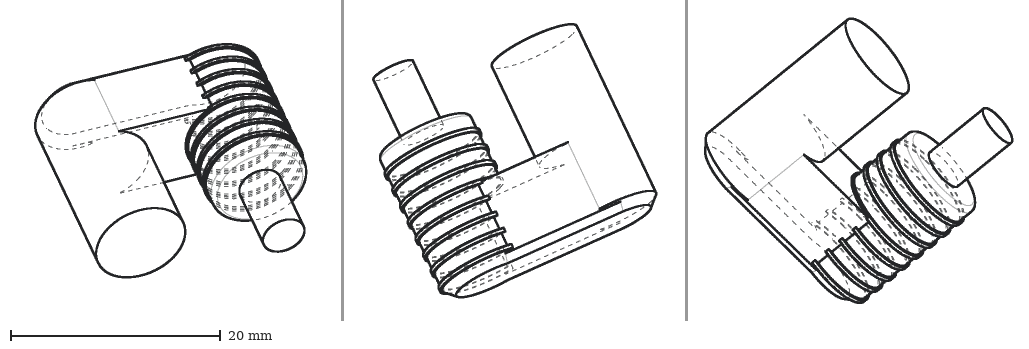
import cadquery as cq

overall_length = 22.5
overall_width = 22.7
end_chamfer = 1.0

plain_diameter = 9.0
plain_length = 19.0

ribbed_diameter = 9.6
ribbed_length = 15.53
ribbed_end_fillet = 0.5
cable_diameter = 4.2

rib_diameter = 10.0
rib_width = 0.4
rib_pitch = 1.75
rib_count = 8

web_length = 8.2
web_height = 8.5
web_chamfer = 0.8

plain_axis_y = (plain_diameter - overall_width) / 2
ribbed_axis_y = (overall_width - rib_diameter) / 2
axis_spacing = ribbed_axis_y - plain_axis_y


def rod(axis_y, diameter, start_x, end_x):
    """Cylinder parallel to X between two X positions."""
    plane = cq.Workplane("YZ", origin=(start_x, axis_y, 0))
    return plane.circle(diameter / 2).extrude(end_x - start_x)


def barrel(axis_y, diameter, length):
    """Barrel starting at X = 0 with a chamfered front edge."""
    return rod(axis_y, diameter, 0, length).faces("<X").chamfer(end_chamfer)


def web():
    """Flat block reaching from one barrel axis to the other."""
    block = cq.Workplane("XY").box(web_length, axis_spacing, web_height, centered=(False, False, True))
    return block.translate((0, plain_axis_y, 0))


def web_chamfer_cutter(side):
    """Four-sided prism that bevels the front edge; side is +1 for the top and -1 for the bottom."""
    edge_z = side * web_height / 2
    inner_z = side * (web_height / 2 - web_chamfer)
    outer_z = side * plain_diameter / 2
    profile = [(0, inner_z), (web_chamfer, edge_z), (web_chamfer, outer_z), (0, outer_z)]
    return cq.Workplane("XZ").polyline(profile).close().extrude(overall_width / 2, both=True)


result = barrel(plain_axis_y, plain_diameter, plain_length).union(web())
for side in (1, -1):
    result = result.cut(web_chamfer_cutter(side))

ribbed_barrel = barrel(ribbed_axis_y, ribbed_diameter, ribbed_length)
ribbed_barrel = ribbed_barrel.faces(">X").edges().fillet(ribbed_end_fillet)
result = result.union(ribbed_barrel)

for index in range(rib_count):
    rib_start = end_chamfer + index * rib_pitch
    result = result.union(rod(ribbed_axis_y, rib_diameter, rib_start, rib_start + rib_width))

result = result.union(rod(ribbed_axis_y, cable_diameter, web_length, overall_length))